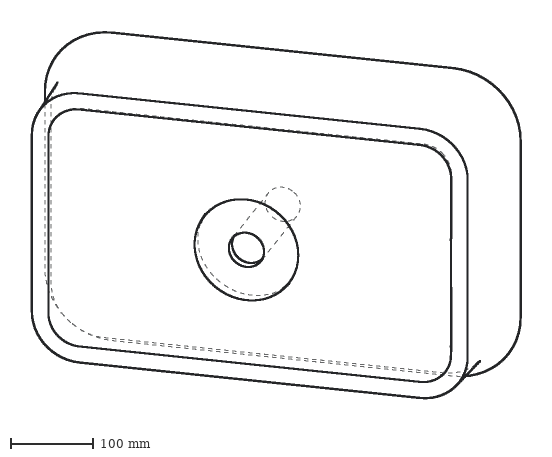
import cadquery as cq
import math


RIM_LENGTH = 600.5
RIM_HEIGHT = 400.5
RIM_CORNER_RADIUS = 85.0
RIM_DEPTH = 45.0
RIM_INSET = 21.0
NECK_FILLET = 5.0
BASE_DEPTH = 145.0
BASE_INSET = 25.0

RECESS_INSET = 46.0
RECESS_DRAFT = 15.0
RECESS_FILLET = 15.0
FLOOR_CENTRE_DEPTH = 12.0
FLOOR_EDGE_DEPTH = 24.0
STRIP_HALF_WIDTH = 24.0

BOSS_PROJECTION = 14.5
BOSS_END_RADIUS = 65.5
BOSS_DRAFT = 3.0
BOSS_FILLET = 14.0
DRAIN_RADIUS = 22.0
PLUG_SETBACK = 12.5
PLUG_EDGE_FILLET = 2.0

TOLERANCE = 0.5

BOSS_FACE_DEPTH = BASE_DEPTH + BOSS_PROJECTION


def workplane(depth):
    """XZ workplane at the given distance in front of the rim; its normal is -Y."""
    return cq.Workplane("XZ", origin=(0, -depth, 0))


def rounded_outline(inset, depth):
    """Closed outline offset inward from the rim edge, keeping the rim's corner centres."""
    outline = cq.Sketch().rect(RIM_LENGTH - 2 * inset, RIM_HEIGHT - 2 * inset)
    outline = outline.vertices().fillet(RIM_CORNER_RADIUS - inset)
    return workplane(depth).placeSketch(outline)


def taper_angle(inset_change, length):
    """Draft angle in degrees that steps inward by inset_change over length."""
    return math.degrees(math.atan2(inset_change, length))


def axis_distance(point):
    """Distance of a point from the drain axis, which is the Y axis."""
    return math.hypot(point.x, point.z)


def make_shell():
    """Flared rim and slightly drafted box, blended at the neck."""
    body_depth = BASE_DEPTH - RIM_DEPTH
    flare = rounded_outline(0, 0).extrude(RIM_DEPTH, taper=taper_angle(RIM_INSET, RIM_DEPTH))
    box = rounded_outline(RIM_INSET, RIM_DEPTH).extrude(
        body_depth, taper=taper_angle(BASE_INSET - RIM_INSET, body_depth)
    )
    neck = cq.selectors.BoxSelector(
        (-RIM_LENGTH, -RIM_DEPTH - TOLERANCE, -RIM_HEIGHT),
        (RIM_LENGTH, -RIM_DEPTH + TOLERANCE, RIM_HEIGHT),
    )
    return flare.union(box).edges(neck).fillet(NECK_FILLET)


def make_floor_block():
    """Block behind the recess floor: a flat middle, four sloping strips, four ruled corners."""
    edge_x = RIM_LENGTH / 2 - RECESS_INSET
    edge_z = RIM_HEIGHT / 2 - RECESS_INSET
    xs = (-edge_x, -STRIP_HALF_WIDTH, STRIP_HALF_WIDTH, edge_x)
    zs = (-edge_z, -STRIP_HALF_WIDTH, STRIP_HALF_WIDTH, edge_z)
    back_y = -RIM_DEPTH

    def floor_point(i, j):
        in_middle = i in (1, 2) and j in (1, 2)
        floor_depth = FLOOR_CENTRE_DEPTH if in_middle else FLOOR_EDGE_DEPTH
        return cq.Vector(xs[i], floor_depth - BASE_DEPTH, zs[j])

    def back_point(i, j):
        return cq.Vector(xs[i], back_y, zs[j])

    def ruled(start_1, end_1, start_2, end_2):
        return cq.Face.makeRuledSurface(cq.Edge.makeLine(start_1, end_1), cq.Edge.makeLine(start_2, end_2))

    def flat(*points):
        return cq.Face.makeFromWires(cq.Wire.makePolygon(points, close=True))

    faces = []
    for i in range(3):
        for j in range(3):
            near_left, near_right = floor_point(i, j), floor_point(i + 1, j)
            far_left, far_right = floor_point(i, j + 1), floor_point(i + 1, j + 1)
            if i == 1 or j == 1:
                faces.append(flat(near_left, near_right, far_right, far_left))
            else:
                faces.append(ruled(near_left, near_right, far_left, far_right))
    for end in (0, 3):
        row = [floor_point(i, end) for i in range(4)]
        faces.append(flat(*row, back_point(3, end), back_point(0, end)))
        column = [floor_point(end, j) for j in range(4)]
        faces.append(flat(*column, back_point(end, 3), back_point(end, 0)))
    faces.append(flat(back_point(0, 0), back_point(3, 0), back_point(3, 3), back_point(0, 3)))
    return cq.Workplane(cq.Solid.makeSolid(cq.Shell.makeShell(faces)).fix())


def make_recess():
    """Drafted pocket that ends on the sloping floor, with the floor edge rounded."""
    pocket = rounded_outline(RECESS_INSET, BASE_DEPTH).extrude(-2 * FLOOR_EDGE_DEPTH, taper=RECESS_DRAFT)
    recess = pocket.cut(make_floor_block())
    middle_radius = math.hypot(STRIP_HALF_WIDTH, STRIP_HALF_WIDTH)

    def borders_floor(edge):
        """Neither end is on the flat middle of the floor or at the mouth of the recess."""
        return all(
            axis_distance(point) > middle_radius + TOLERANCE and -point.y < BASE_DEPTH - TOLERANCE
            for point in (edge.startPoint(), edge.endPoint())
        )

    return recess.edges().filter(borders_floor).fillet(RECESS_FILLET)


def make_basin():
    """Shell with its recess, filleted drain boss and drain hole."""
    boss_length = BOSS_PROJECTION + FLOOR_CENTRE_DEPTH + FLOOR_EDGE_DEPTH
    boss = workplane(BOSS_FACE_DEPTH).circle(BOSS_END_RADIUS).extrude(-boss_length, taper=-BOSS_DRAFT)
    basin = make_shell().cut(make_recess()).union(boss)
    root_radius = BOSS_END_RADIUS + boss_length * math.tan(math.radians(BOSS_DRAFT))

    def borders_boss_root(edge):
        """Both ends are on the boss wall and below the base face."""
        return all(
            axis_distance(point) < root_radius and 0 < -point.y < BASE_DEPTH
            for point in (edge.startPoint(), edge.endPoint())
        )

    basin = basin.edges().filter(borders_boss_root).fillet(BOSS_FILLET)
    drain_hole = workplane(0).circle(DRAIN_RADIUS).extrude(BOSS_FACE_DEPTH)
    return basin.cut(drain_hole)


def make_drain_plug():
    """Round-edged cylinder that closes the drain hole from the rim plane to behind the boss face."""
    plug = workplane(0).circle(DRAIN_RADIUS).extrude(BOSS_FACE_DEPTH - PLUG_SETBACK)
    return plug.faces("<Y").edges().fillet(PLUG_EDGE_FILLET)


basin = make_basin()
drain_plug = make_drain_plug()

result = cq.Compound.makeCompound([basin.val(), drain_plug.val()])